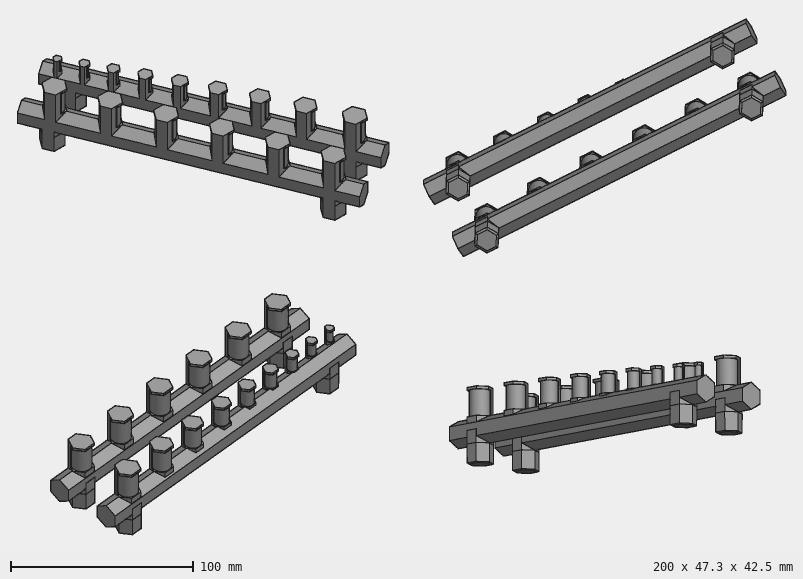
import cadquery as cq
import math

rail_length = 200.0
rail_flats = 13.2
row_pitch = 34.0

foot_flats = 13.0
foot_front_gap = 0.3
foot_taper = 0.1
stub_clearance = 0.05
foot_drop = 11.0
foot_chamfer_height = 1.2
foot_chamfer_width = 0.5
foot_offset = 82.0

largest_flats = 12.5
flats_step = 1.0
height_over_flats = 3.8
front_gap = 0.7
back_trim = 0.3

head_thickness = 1.5
neck_undercut = 0.5
web_share = 0.45

graded_positions = [-90.0, -74.5, -57.5, -39.2, -19.2, 2.8, 27.2, 53.5, 82.2]
equal_pitch = 32.5
equal_count = 6

rail_apothem = rail_flats / 2
rail_top = 2 * rail_apothem / math.sqrt(3)
last_peg = graded_positions[-1]


def hexagon(apothem, front, back):
    """Hexagon with corners on X, its front flat at y = 0 and its corners at y = front.

    The slanted sides keep the slope of a regular hexagon, whatever the front and back depths.
    """
    corner = 2 * apothem / math.sqrt(3)
    front_half = corner - front / math.sqrt(3)
    back_half = corner - back / math.sqrt(3)
    return [
        (-front_half, 0),
        (front_half, 0),
        (corner, front),
        (back_half, front + back),
        (-back_half, front + back),
        (-corner, front),
    ]


def rail():
    """Hexagonal bar along X with its front flat at y = 0 and ridges at top and bottom."""
    points = hexagon(rail_apothem, rail_apothem, rail_apothem)
    profile = [(y, z) for z, y in points]
    return cq.Workplane("YZ").polyline(profile).close().extrude(rail_length / 2, both=True)


def foot(x):
    """Slightly tapered hexagonal foot with a chamfered tip, on a stub inside the rail."""
    apothem = foot_flats / 2
    front = apothem + foot_front_gap
    stub_apothem = apothem - stub_clearance
    tip_apothem = apothem - foot_taper
    stub = (
        cq.Workplane("XY")
        .polyline(hexagon(stub_apothem, front, stub_apothem))
        .close()
        .extrude(-rail_top)
    )
    column = (
        cq.Workplane("XY", origin=(0, 0, -rail_top))
        .polyline(hexagon(apothem, front, apothem))
        .close()
        .workplane(offset=-foot_drop)
        .polyline(hexagon(tip_apothem, front, tip_apothem))
        .close()
        .loft(ruled=True)
    )
    column = column.faces("<Z").chamfer(foot_chamfer_width, foot_chamfer_height)
    return stub.union(column).translate((x, 0, 0))


def neck_relief(flats, centre_y, neck_height):
    """Material removed around the round neck, behind the full-width front web."""
    apothem = flats / 2
    web = apothem * web_share + front_gap
    surround = (
        cq.Workplane("XY", origin=(0, web + flats, rail_top))
        .rect(2 * flats, 2 * flats)
        .extrude(neck_height)
    )
    core = (
        cq.Workplane("XY", origin=(0, centre_y, rail_top))
        .circle(apothem - neck_undercut)
        .extrude(neck_height)
    )
    return surround.cut(core)


def peg(x, flats):
    """Hexagonal peg whose head overhangs a round neck at the back and sides."""
    apothem = flats / 2
    centre_y = apothem + front_gap
    height = flats + height_over_flats
    column = (
        cq.Workplane("XY")
        .polyline(hexagon(apothem, centre_y, apothem - back_trim))
        .close()
        .extrude(rail_top + height)
    )
    relief = neck_relief(flats, centre_y, height - head_thickness)
    return column.cut(relief).translate((x, 0, 0))


def rack(pegs, y):
    """One rail with two feet and its row of pegs."""
    body = rail()
    for side in (-1, 1):
        body = body.union(foot(side * foot_offset))
    for x, flats in pegs:
        body = body.union(peg(x, flats))
    return body.translate((0, y, 0))


equal_pegs = [(last_peg - i * equal_pitch, largest_flats) for i in range(equal_count)]
equal_rack = rack(equal_pegs, 0)

graded_pegs = [
    (x, largest_flats - steps_below * flats_step)
    for steps_below, x in enumerate(reversed(graded_positions))
]
graded_rack = rack(graded_pegs, row_pitch)

result = cq.Compound.makeCompound([equal_rack.val(), graded_rack.val()])